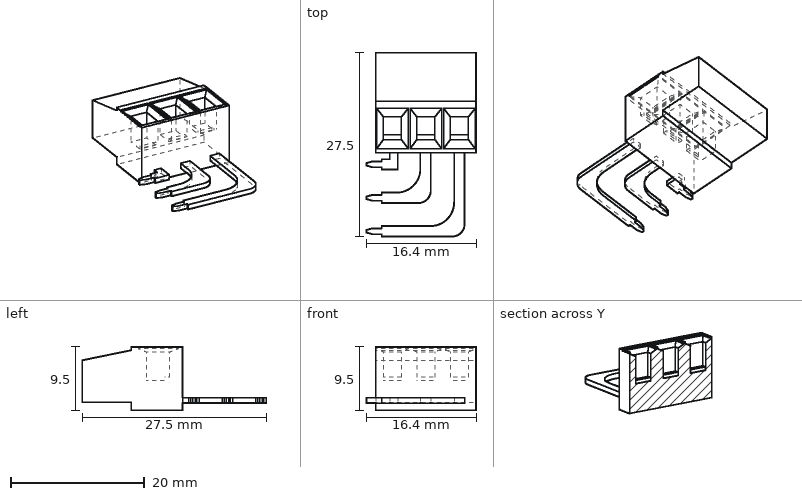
import cadquery as cq

pole_count = 3
pitch = 5.0
housing_width = pole_count * pitch
housing_depth = 15.0
housing_height = 9.5
front_block_depth = 7.7
rear_underside = 1.2
rear_slope_high = 9.0
rear_slope_low = 7.5

rim_width = 4.7
rim_front = 0.65
rim_back = 6.65
rim_depth = 0.25
funnel_depth = 0.5
well_width = 2.7
well_front = 2.0
well_back = 5.4
well_floor = 4.5
ledge_back = 2.7
ledge_height = 0.5

pin_thickness = 0.8
pin_bottom = 1.1
pin_width = 1.6
first_row = -1.7
tip_end = -1.4
tip_taper_start = -0.5
shoulder = 0.9
tip_width = 0.9
tip_end_width = 0.4
first_stem_left = 2.1
first_stem_right = 3.3
second_stem_right = 8.25
third_stem_right = 13.3
outer_bend_radius = 1.9
inner_bend_radius = outer_bend_radius + pin_width


def make_housing():
    """Stepped side profile extruded across the full width."""
    profile = [
        (0, 0),
        (front_block_depth, 0),
        (front_block_depth, rear_underside),
        (housing_depth, rear_underside),
        (housing_depth, rear_slope_low),
        (front_block_depth, rear_slope_high),
        (front_block_depth, housing_height),
        (0, housing_height),
    ]
    return cq.Workplane("YZ").polyline(profile).close().extrude(housing_width)


def centred_box(center_x, width, front, back, bottom, top):
    """Box centred on center_x, spanning front to back and bottom to top."""
    return (
        cq.Workplane("XY")
        .box(width, back - front, top - bottom, centered=(True, False, False))
        .translate((center_x, front, bottom))
    )


def make_opening(center_x):
    """Volume removed for one screw opening."""
    funnel_top = housing_height - rim_depth
    funnel_bottom = funnel_top - funnel_depth
    rim_middle = (rim_front + rim_back) / 2
    well_middle = (well_front + well_back) / 2

    rim = centred_box(center_x, rim_width, rim_front, rim_back, funnel_top, housing_height)
    funnel = (
        cq.Workplane("XY", origin=(center_x, rim_middle, funnel_top))
        .rect(rim_width, rim_back - rim_front)
        .workplane(offset=-funnel_depth)
        .center(0, well_middle - rim_middle)
        .rect(well_width, well_back - well_front)
        .loft(ruled=True)
    )
    well = centred_box(center_x, well_width, well_front, well_back, well_floor, funnel_bottom)
    ledge = centred_box(
        center_x, well_width, well_front, ledge_back, well_floor, well_floor + ledge_height
    )
    return rim.union(funnel).union(well.cut(ledge))


def make_pin(row_y, stem_left, stem_right, bend=True):
    """L-shaped flat pin: a stem leaving the housing and an arm ending in a tapered tip."""
    arm_front = row_y - pin_width / 2
    arm_back = row_y + pin_width / 2
    outline = [
        (stem_left, 0),
        (stem_left, arm_back),
        (shoulder, arm_back),
        (shoulder, row_y + tip_width / 2),
        (tip_taper_start, row_y + tip_width / 2),
        (tip_end, row_y + tip_end_width / 2),
        (tip_end, row_y - tip_end_width / 2),
        (tip_taper_start, row_y - tip_width / 2),
        (shoulder, row_y - tip_width / 2),
        (shoulder, arm_front),
        (stem_right, arm_front),
        (stem_right, 0),
    ]
    pin = (
        cq.Workplane("XY", origin=(0, 0, pin_bottom))
        .polyline(outline)
        .close()
        .extrude(pin_thickness)
    )
    if bend:
        inner_corner = cq.selectors.NearestToPointSelector(
            (stem_left, arm_back, pin_bottom + pin_thickness / 2)
        )
        pin = pin.edges("|Z").edges(inner_corner).fillet(inner_bend_radius)
        outer_corner = cq.selectors.NearestToPointSelector(
            (stem_right, arm_front, pin_bottom + pin_thickness / 2)
        )
        pin = pin.edges("|Z").edges(outer_corner).fillet(outer_bend_radius)
    return pin


result = make_housing()
for pole in range(pole_count):
    result = result.cut(make_opening((pole + 0.5) * pitch))

result = result.union(make_pin(first_row, first_stem_left, first_stem_right, bend=False))
for row, stem_right in enumerate([second_stem_right, third_stem_right], start=1):
    pin = make_pin(first_row - row * pitch, stem_right - pin_width, stem_right)
    result = result.union(pin)